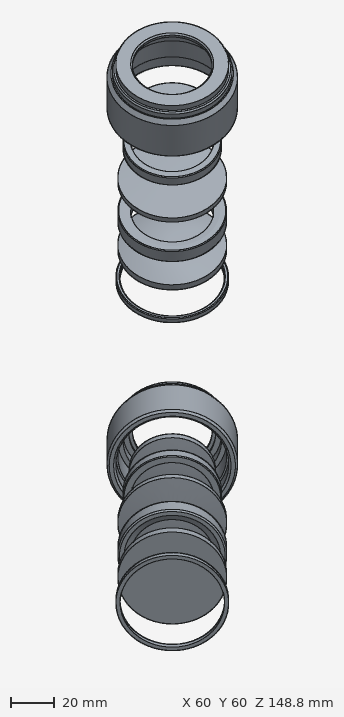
import cadquery as cq


aperture_radius = 19.0
front_lens_radius = 20.0
small_spacer_radius = 22.6
large_lens_radius = 25.0
thread_radius = 25.9
spacer_chamfer = 0.5

housing_top = 148.8
housing_height = 31.1
housing_radius = 29.99
rim_radius = thread_radius
rim_height = 3.3
collar_radius = 27.5
collar_chamfer = 0.7
collar_bottom_depth = 6.8
cone_top_radius = 28.1
cone_bottom_depth = 9.1
base_chamfer = 1.0

lip_chamfer = 0.7
lip_depth = 2.1
front_seat_depth = 3.4
small_bore_depth = 9.4
large_bore_depth = 23.0

front_lens_top = 113.7
front_lens_edge = 3.4
front_lens_bulge = 1.2

small_spacer_bottom = 90.3
small_spacer_height = 5.7

biconvex_bottom = 68.0
biconvex_edge = 2.8
biconvex_bulge = 1.5

large_spacer_bottom = 40.2
large_spacer_height = 8.0
seat_radius = 22.2
upper_seat_depth = 0.5
lower_seat_depth = 1.3
lower_rim_chamfer = 0.7

domed_lens_bottom = 21.5
domed_lens_edge = 3.5
domed_lens_bulge = 5.8

ring_height = 3.0
ring_bore_radius = 24.0
ring_chamfer = 0.5


def turn(profile):
    """Revolve a list of (radius, height) points about the Z axis."""
    return cq.Workplane("XZ").polyline(profile).close().revolve(360, (0, 0), (0, 1))


def make_housing():
    base = housing_top - housing_height
    lip_radius = aperture_radius - lip_chamfer
    return turn([
        (aperture_radius, housing_top),
        (rim_radius, housing_top),
        (rim_radius, housing_top - rim_height),
        (collar_radius - collar_chamfer, housing_top - rim_height),
        (collar_radius, housing_top - rim_height - collar_chamfer),
        (collar_radius, housing_top - collar_bottom_depth),
        (cone_top_radius, housing_top - collar_bottom_depth),
        (housing_radius, housing_top - cone_bottom_depth),
        (housing_radius, base + base_chamfer),
        (housing_radius - base_chamfer, base),
        (thread_radius + base_chamfer, base),
        (thread_radius, base + base_chamfer),
        (thread_radius, housing_top - large_bore_depth),
        (large_lens_radius, housing_top - large_bore_depth),
        (large_lens_radius, housing_top - small_bore_depth),
        (small_spacer_radius, housing_top - small_bore_depth),
        (small_spacer_radius, housing_top - front_seat_depth),
        (front_lens_radius, housing_top - front_seat_depth),
        (front_lens_radius, housing_top - lip_depth),
        (lip_radius, housing_top - lip_depth),
        (lip_radius, housing_top - lip_chamfer),
    ])


def make_lens(radius, bottom, edge, bulge_above=0, bulge_below=0):
    """Lens with a cylindrical edge and a spherical cap on each bulging side."""
    lens = cq.Workplane("XY").workplane(offset=bottom).circle(radius).extrude(edge)
    for face_height, bulge in ((bottom + edge, bulge_above), (bottom, -bulge_below)):
        if bulge:
            sphere_radius = (radius**2 + bulge**2) / (2 * abs(bulge))
            direction = 1 if bulge > 0 else -1
            centre = face_height + bulge - direction * sphere_radius
            halfway_height = centre + direction * (sphere_radius**2 - radius**2 / 4) ** 0.5
            cap = (
                cq.Workplane("XZ")
                .moveTo(0, face_height)
                .lineTo(radius, face_height)
                .threePointArc((radius / 2, halfway_height), (0, face_height + bulge))
                .close()
                .revolve(360, (0, 0), (0, 1))
            )
            lens = lens.union(cap)
    return lens


def make_small_spacer():
    spacer = (
        cq.Workplane("XY")
        .workplane(offset=small_spacer_bottom)
        .circle(small_spacer_radius)
        .extrude(small_spacer_height)
        .edges()
        .chamfer(spacer_chamfer)
    )
    return spacer.faces(">Z").workplane().circle(aperture_radius).cutThruAll()


def make_large_spacer():
    top = large_spacer_bottom + large_spacer_height
    return turn([
        (aperture_radius, large_spacer_bottom + lower_seat_depth),
        (seat_radius, large_spacer_bottom),
        (large_lens_radius - lower_rim_chamfer, large_spacer_bottom),
        (large_lens_radius, large_spacer_bottom + lower_rim_chamfer),
        (large_lens_radius, top - spacer_chamfer),
        (large_lens_radius - spacer_chamfer, top),
        (seat_radius, top),
        (aperture_radius, top - upper_seat_depth),
    ])


def make_retaining_ring():
    return turn([
        (ring_bore_radius, 0),
        (thread_radius, 0),
        (thread_radius, ring_height - ring_chamfer),
        (thread_radius - ring_chamfer, ring_height),
        (ring_bore_radius + ring_chamfer, ring_height),
        (ring_bore_radius, ring_height - ring_chamfer),
    ])


housing = make_housing()
front_lens = make_lens(
    front_lens_radius, front_lens_top - front_lens_edge, front_lens_edge, bulge_below=front_lens_bulge
)
small_spacer = make_small_spacer()
biconvex_lens = make_lens(
    large_lens_radius, biconvex_bottom, biconvex_edge, biconvex_bulge, biconvex_bulge
)
large_spacer = make_large_spacer()
domed_lens = make_lens(large_lens_radius, domed_lens_bottom, domed_lens_edge, domed_lens_bulge)
retaining_ring = make_retaining_ring()

bodies = (
    housing, front_lens, small_spacer, biconvex_lens, large_spacer, domed_lens, retaining_ring
)
result = cq.Compound.makeCompound([body.val() for body in bodies])